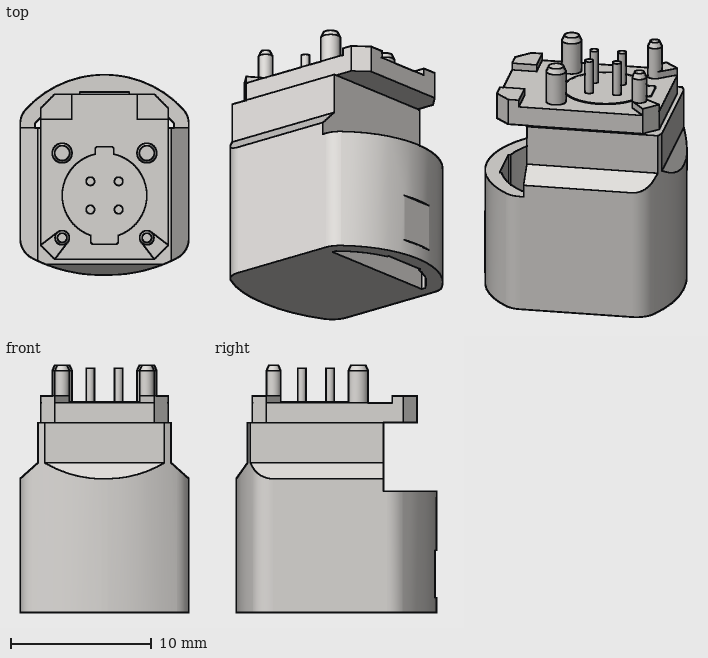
import cadquery as cq
import math


width = 12.0
rear_y = 8.59
front_y = -5.67
rear_radius = 7.59
front_radius = 10.65
front_flat = 0.45
corner_radius = 1.58

rim_z = 8.65
shoulder_low_z = 9.52
shoulder_high_z = 10.65
neck_top_z = 13.52
plate_top_z = 14.9
pad_top_z = 15.42
pin_top_z = 17.39
peg_top_z = 17.6

neck_width = 9.49
neck_front_y = -4.88
neck_rear_y = 4.8

opening_width = 9.85
rear_wall = 1.16
slot_width = 3.48
slot_rear_y = 7.34
recess_depth = 0.12
recess_low_z = 1.07
recess_high_z = 4.44

plate_width = 9.08
plate_front_y = -4.54
plate_rear_y = 7.2
plate_chamfer = 1.0
rear_pad_width = 2.22
rear_pad_length = 1.78

insert_radius = 3.01
insert_rise = 0.07
key_reach = 3.47
rear_key_width = 1.34
front_key_width = 1.99
key_corner_radius = 0.21

pin_radius = 0.3
pin_offset = 1.0
peg_offset = 3.01
rear_peg_radius = 0.7
rear_peg_tip_radius = 0.53
front_peg_radius = 0.51
front_peg_tip_radius = 0.33
peg_tip_height = 0.39

half_width = width / 2
neck_half = neck_width / 2
plate_half = plate_width / 2
rear_center_y = rear_y - rear_radius


def box(x0, x1, y0, y1, z0, z1):
    """Box between two opposite corners."""
    return cq.Workplane("XY").box(x1 - x0, y1 - y0, z1 - z0, centered=False).translate((x0, y0, z0))


def both_sides(solid):
    """A solid together with its mirror image across X = 0."""
    return solid.union(solid.mirror("YZ"))


def make_housing():
    """Prism with bowed front and rear faces and rounded vertical corners."""
    flat_half = front_flat / 2

    def front_arc_y(x):
        return front_y + front_radius - math.sqrt(front_radius**2 - (x - flat_half) ** 2)

    front_mid_x = (half_width + flat_half) / 2
    front_corner_y = front_arc_y(half_width)
    rear_corner_y = rear_center_y + math.sqrt(rear_radius**2 - half_width**2)
    return (
        cq.Workplane("XY")
        .moveTo(-flat_half, front_y)
        .lineTo(flat_half, front_y)
        .threePointArc((front_mid_x, front_arc_y(front_mid_x)), (half_width, front_corner_y))
        .lineTo(half_width, rear_corner_y)
        .threePointArc((0, rear_y), (-half_width, rear_corner_y))
        .lineTo(-half_width, front_corner_y)
        .threePointArc((-front_mid_x, front_arc_y(front_mid_x)), (-flat_half, front_y))
        .close()
        .extrude(neck_top_z)
        .edges("|Z and (>X or <X)")
        .fillet(corner_radius)
    )


def cut_neck(body):
    """Leave a narrower neck above sloped shoulders and a low rim behind it."""
    side_waste = (
        cq.Workplane("XZ")
        .polyline([
            (half_width, shoulder_low_z),
            (neck_half, shoulder_high_z),
            (neck_half, neck_top_z),
            (half_width, neck_top_z),
        ])
        .close()
        .extrude(width, both=True)
    )
    front_waste = (
        cq.Workplane("YZ")
        .polyline([
            (front_y, shoulder_low_z),
            (neck_front_y, shoulder_high_z),
            (neck_front_y, neck_top_z),
            (front_y, neck_top_z),
        ])
        .close()
        .extrude(width, both=True)
    )
    rear_waste = box(-half_width, half_width, neck_rear_y, rear_y, rim_z, neck_top_z)
    return body.cut(both_sides(side_waste)).cut(front_waste).cut(rear_waste)


def cut_rear_opening(body):
    """Through opening between the neck and the rear wall, with a slot in the wall."""
    opening = box(-opening_width / 2, opening_width / 2, neck_rear_y, slot_rear_y, 0, rim_z)
    inside_wall = (
        cq.Workplane("XY").center(0, rear_center_y).circle(rear_radius - rear_wall).extrude(rim_z)
    )
    slot = box(-slot_width / 2, slot_width / 2, neck_rear_y, slot_rear_y, 0, rim_z)
    return body.cut(opening.intersect(inside_wall)).cut(slot)


def cut_rear_recess(body):
    """Shallow flat recess across the crown of the rear face."""
    return body.cut(
        box(-half_width, half_width, rear_y - recess_depth, rear_y, recess_low_z, recess_high_z)
    )


def make_plate_blank(top_z):
    """Rectangular plate with four chamfered corners, resting on the neck."""
    blank = box(-plate_half, plate_half, plate_front_y, plate_rear_y, neck_top_z, top_z)
    return blank.edges("|Z").chamfer(plate_chamfer)


def make_front_pad():
    """Wedge running from a chamfered front corner to tangency with the front peg."""
    chamfer_ends = [
        (plate_half - plate_chamfer, plate_front_y),
        (plate_half, plate_front_y + plate_chamfer),
    ]

    def tangent_point(point, side):
        dx = point[0] - peg_offset
        dy = point[1] + peg_offset
        turn = math.acos(front_peg_radius / math.hypot(dx, dy))
        angle = math.atan2(dy, dx) + side * turn
        return (
            peg_offset + front_peg_radius * math.cos(angle),
            -peg_offset + front_peg_radius * math.sin(angle),
        )

    first_tangent = tangent_point(chamfer_ends[0], -1)
    second_tangent = tangent_point(chamfer_ends[1], 1)
    return (
        cq.Workplane("XY", origin=(0, 0, neck_top_z))
        .polyline([first_tangent, *chamfer_ends, second_tangent])
        .close()
        .extrude(pad_top_z - neck_top_z)
    )


def make_plate():
    """Plate with a raised pad on each corner."""
    rear_pad = box(
        plate_half - rear_pad_width, plate_half,
        plate_rear_y - rear_pad_length, plate_rear_y,
        neck_top_z, pad_top_z,
    ).intersect(make_plate_blank(pad_top_z))
    return make_plate_blank(plate_top_z).union(both_sides(rear_pad)).union(both_sides(make_front_pad()))


def make_insert():
    """Slightly raised disc with a narrow rear key and a wide front key."""
    top_z = plate_top_z + insert_rise
    insert = cq.Workplane("XY", origin=(0, 0, neck_top_z)).circle(insert_radius).extrude(top_z - neck_top_z)
    for key_width, end_face, y0, y1 in (
        (rear_key_width, ">Y", 0, key_reach),
        (front_key_width, "<Y", -key_reach, 0),
    ):
        key = box(-key_width / 2, key_width / 2, y0, y1, neck_top_z, top_z)
        insert = insert.union(key.faces(end_face).edges("|Z").fillet(key_corner_radius))
    return insert


def make_pins():
    """Square pattern of four straight contact pins."""
    return (
        cq.Workplane("XY", origin=(0, 0, neck_top_z))
        .rect(2 * pin_offset, 2 * pin_offset, forConstruction=True)
        .vertices()
        .circle(pin_radius)
        .extrude(pin_top_z - neck_top_z)
    )


def make_peg_pair(y, radius, tip_radius):
    """Two mirrored locating pegs with conical tips."""
    shank_top_z = peg_top_z - peg_tip_height
    profile = [
        (0, neck_top_z), (radius, neck_top_z), (radius, shank_top_z), (tip_radius, peg_top_z), (0, peg_top_z),
    ]
    peg = cq.Workplane("XZ").polyline(profile).close().revolve(360, (0, 0, 0), (0, 1, 0))
    return both_sides(peg.translate((peg_offset, y, 0)))


body = cut_rear_recess(cut_rear_opening(cut_neck(make_housing())))
result = (
    body.union(make_plate())
    .union(make_insert())
    .union(make_pins())
    .union(make_peg_pair(peg_offset, rear_peg_radius, rear_peg_tip_radius))
    .union(make_peg_pair(-peg_offset, front_peg_radius, front_peg_tip_radius))
)